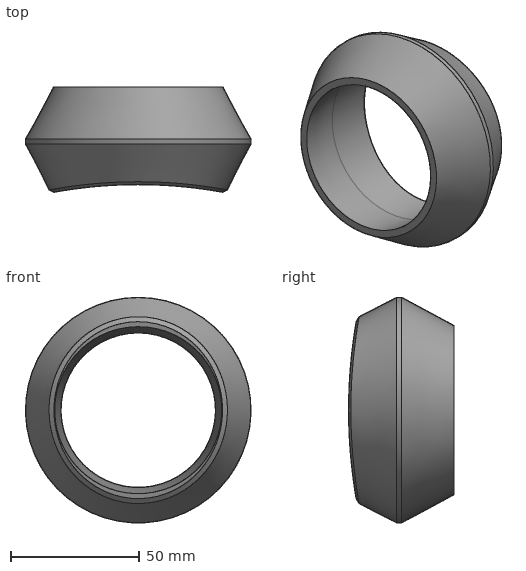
import cadquery as cq
import math

rim_radius = 44.05
end_radius = 33.0
end_cone_length = 20.4
rim_width = 1.9
saddle_cone_angle = 27.3
total_length = 41.15

bore_radius = 32.6
throat_radius = 30.1
bore_taper_length = 20.0

saddle_rise = 2.9
saddle_edge_chamfer = 1.3
cut_margin = 4.4

rim_front = end_cone_length + rim_width
blank_length = total_length + cut_margin
blank_radius = rim_radius - (blank_length - rim_front) * math.tan(math.radians(saddle_cone_angle))
saddle_top = -(total_length - saddle_rise)
saddle_radius = (bore_radius**2 + saddle_rise**2) / (2 * saddle_rise)


def make_outer_blank():
    """Solid double cone with a narrow cylindrical rim."""
    return (
        cq.Workplane("YZ")
        .lineTo(0, end_radius)
        .lineTo(-end_cone_length, rim_radius)
        .lineTo(-rim_front, rim_radius)
        .lineTo(-blank_length, blank_radius)
        .lineTo(-blank_length, 0)
        .close()
        .revolve(360, (0, 0, 0), (1, 0, 0))
    )


def make_bore():
    """Straight bore that tapers down to the throat at the flat end."""
    return (
        cq.Workplane("YZ")
        .lineTo(0, throat_radius)
        .lineTo(-bore_taper_length, bore_radius)
        .lineTo(-blank_length, bore_radius)
        .lineTo(-blank_length, 0)
        .close()
        .revolve(360, (0, 0, 0), (1, 0, 0))
    )


def make_saddle_cutter():
    """Cylinder along Z, the shape of the pipe the saddle sits on."""
    return (
        cq.Workplane("XY")
        .center(0, saddle_top - saddle_radius)
        .circle(saddle_radius)
        .extrude(2 * rim_radius, both=True)
    )


body = make_outer_blank().cut(make_saddle_cutter())

saddle_face = cq.selectors.NearestToPointSelector((0, saddle_top, 0))
body = body.faces(saddle_face).edges().chamfer(saddle_edge_chamfer)

result = body.cut(make_bore())